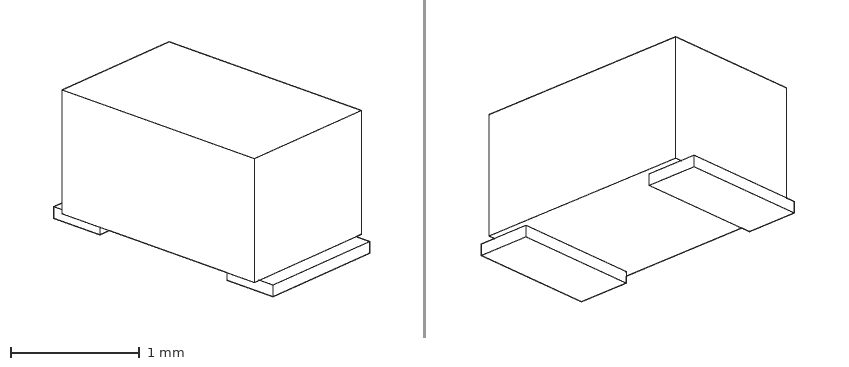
import cadquery as cq

body_length = 2.0
body_width = 1.25
body_height = 1.05
terminal_length = 0.48
terminal_width = 1.13
terminal_thickness = 0.1
terminal_overhang = 0.14

terminal_offset = body_length / 2 + terminal_overhang - terminal_length / 2


def make_body():
    """Plain rectangular block resting on top of the terminals."""
    return (
        cq.Workplane("XY")
        .workplane(offset=terminal_thickness)
        .rect(body_length, body_width)
        .extrude(body_height)
    )


def make_terminal(side):
    """Flat terminal plate under one end of the body; side is -1 or +1 along X."""
    return (
        cq.Workplane("XY")
        .center(side * terminal_offset, 0)
        .rect(terminal_length, terminal_width)
        .extrude(terminal_thickness)
    )


body = make_body()
terminals = [make_terminal(side) for side in (-1, 1)]

result = cq.Compound.makeCompound([body.val(), *[terminal.val() for terminal in terminals]])